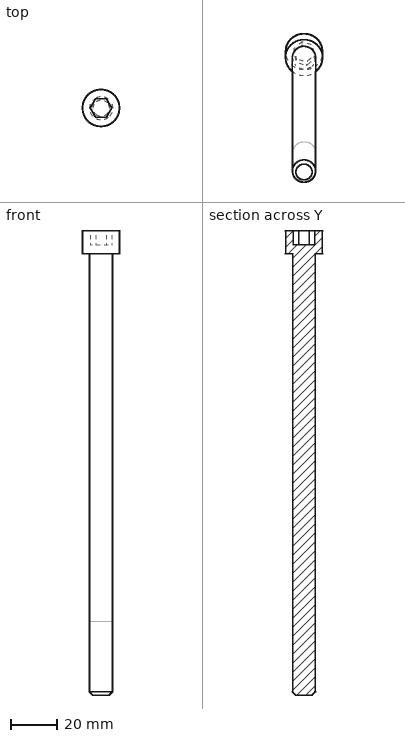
import cadquery as cq
import math

thread_diameter = 10.0
shank_length = 190.0
head_diameter = 16.0
head_height = 10.0
thread_length = 32.0
socket_across_flats = 8.0
socket_depth = 6.0
tip_diameter = 7.0
tip_height = 1.5

shank_radius = thread_diameter / 2
tip_radius = tip_diameter / 2
thread_start_z = thread_length - shank_length
tip_top_z = tip_height - shank_length


def make_head():
    """Plain cylindrical head standing on Z = 0."""
    return cq.Workplane("XY").circle(head_diameter / 2).extrude(head_height)


def make_plain_shank():
    """Unthreaded length from the head down to the start of the thread."""
    return cq.Workplane("XY").circle(shank_radius).extrude(thread_start_z)


def make_threaded_end():
    """Threaded length at its outer diameter, narrowing to a conical tip."""
    profile = [
        (0, thread_start_z),
        (shank_radius, thread_start_z),
        (shank_radius, tip_top_z),
        (tip_radius, -shank_length),
        (0, -shank_length),
    ]
    return cq.Workplane("XZ").polyline(profile).close().revolve(360, (0, 0), (0, 1))


def make_socket():
    """Hexagonal key socket, with two corners on the X axis."""
    across_corners = socket_across_flats / math.cos(math.pi / 6)
    return (
        cq.Workplane("XY")
        .workplane(offset=head_height - socket_depth)
        .polygon(6, across_corners)
        .extrude(socket_depth)
    )


result = make_head().union(make_plain_shank()).union(make_threaded_end()).cut(make_socket())